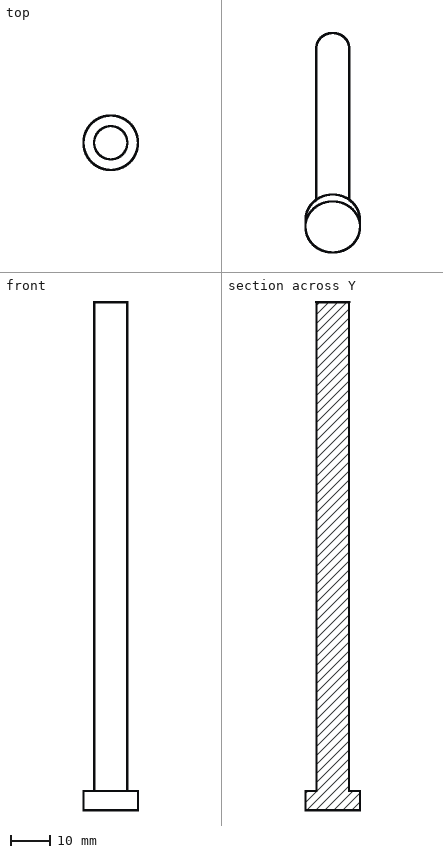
import cadquery as cq

total_length = 130.0
head_diameter = 14.0
head_height = 5.0
shank_diameter = 8.5
neck_fillet = 0.2


def make_head():
    """Flat disc head with its underside on Z = 0."""
    return cq.Workplane("XY").circle(head_diameter / 2).extrude(head_height)


def add_shank(head):
    """Plain round shank rising from the head to the full length."""
    shank_length = total_length - head_height
    return head.faces(">Z").workplane().circle(shank_diameter / 2).extrude(shank_length)


def round_neck(pin):
    """Small fillet where the shank meets the head."""
    reach = shank_diameter / 2 + neck_fillet
    neck_zone = cq.selectors.BoxSelector(
        (-reach, -reach, head_height - neck_fillet),
        (reach, reach, head_height + neck_fillet),
        boundingbox=True,
    )
    return pin.edges(neck_zone).fillet(neck_fillet)


result = round_neck(add_shank(make_head()))